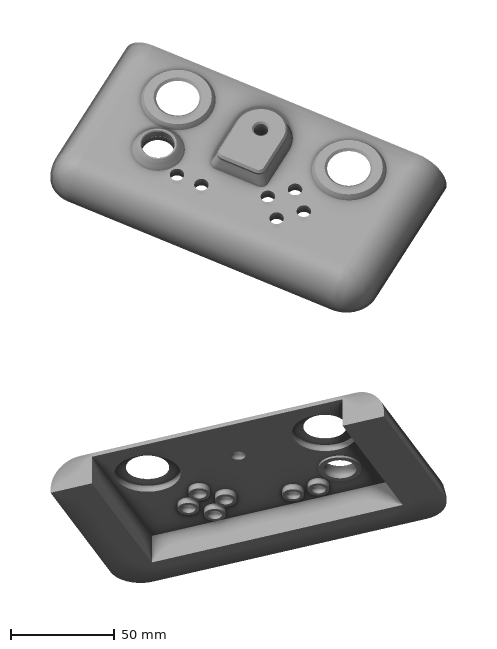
import cadquery as cq

LENGTH = 175.1
DEPTH = 91.2
BODY_TOP = 17.5
SKIRT_HEIGHT = 2.1
EDGE_ROUND = BODY_TOP - SKIRT_HEIGHT
CORNER_RADIUS = 15.8

PLATE_THICKNESS = 2.1
PLATE_UNDERSIDE = BODY_TOP - PLATE_THICKNESS
CAVITY_WIDTH = 131.7
FRONT_WALL = 15.8

LENS_SPACING = 93.2
LENS_Y = 21.7
LENS_TOP = 20.0
LENS_BASE_DIAMETER = 36.6
LENS_TOP_DIAMETER = 33.0
LENS_MOUTH_DIAMETER = 23.5
LENS_HOLE_DIAMETER = 21.0
LENS_LIP = 1.0
LENS_POCKET_DIAMETER = 32.2

EYE_X = -41.5
EYE_Y = -9.3
EYE_TOP = 21.9
EYE_SHOULDER = 20.7
EYE_BASE_DIAMETER = 26.1
EYE_SHOULDER_DIAMETER = 20.7
EYE_TOP_DIAMETER = 18.2
EYE_MOUTH_DIAMETER = 17.2
EYE_HOLE_DIAMETER = 16.1
EYE_SLEEVE_BORE = 16.0
EYE_CHAMFER = 0.5
EYE_SLEEVE_DIAMETER = 21.0
EYE_SLEEVE_BOTTOM = 14.4

PAD_TOP = 25.5
PAD_SHOULDER = 23.1
PAD_BAND_TOP = 24.3
PAD_Y = 19.3
PAD_BASE_RADIUS = 15.4
PAD_FRONT_Y = -7.2
PAD_SHOULDER_INSET = 2.5
PAD_TOP_INSET = 3.5
PAD_CORNER = 3.7
PAD_HOLE_DIAMETER = 7.0
PAD_MOUTH_DIAMETER = 8.8
PAD_COUNTERSINK = 0.9

BUTTON_DIAMETER = 7.0
SLEEVE_DIAMETER = 10.5
SLEEVE_BOTTOM = 12.3
CROSS_X = 28.7
CROSS_Y = -10.3
CROSS_REACH = 9.8
PAIR_X = (-26.3, -13.0)
PAIR_Y = -18.7

BUTTONS = [
    (CROSS_X - CROSS_REACH, CROSS_Y),
    (CROSS_X + CROSS_REACH, CROSS_Y),
    (CROSS_X, CROSS_Y - CROSS_REACH),
    (CROSS_X, CROSS_Y + CROSS_REACH),
    (PAIR_X[0], PAIR_Y),
    (PAIR_X[1], PAIR_Y),
]
LENSES = [(-LENS_SPACING / 2, LENS_Y), (LENS_SPACING / 2, LENS_Y)]


def turned(x, y, profile):
    """Solid of revolution about a vertical axis at (x, y); profile lists (diameter, z)."""
    points = [(diameter / 2, z) for diameter, z in profile]
    outline = [(0, points[0][1])] + points + [(0, points[-1][1])]
    solid = cq.Workplane("XZ").polyline(outline).close().revolve(360, (0, 0), (0, 1))
    return solid.translate((x, y, 0))


def housing():
    """Block with rounded front corners and a large round along its front and ends."""
    block = cq.Workplane("XY").box(LENGTH, DEPTH, BODY_TOP, centered=(True, True, False))
    block = block.edges("|Z and <Y").fillet(CORNER_RADIUS)
    block = block.faces(">Z").edges("not >Y").fillet(EDGE_ROUND)
    cavity_depth = DEPTH - FRONT_WALL
    cavity = cq.Workplane("XY").box(
        CAVITY_WIDTH, cavity_depth, PLATE_UNDERSIDE, centered=(True, True, False)
    )
    return block.cut(cavity.translate((0, FRONT_WALL / 2, 0)))


def pad_outline(inset, z, corner):
    """Pad outline at height z, moved inwards by inset, with front corners of the given radius."""
    radius = PAD_BASE_RADIUS - inset
    front = PAD_FRONT_Y + inset
    return (
        cq.Workplane("XY", origin=(0, 0, z))
        .moveTo(-radius + corner, front)
        .lineTo(radius - corner, front)
        .radiusArc((radius, front + corner), -corner)
        .lineTo(radius, PAD_Y)
        .threePointArc((0, PAD_Y + radius), (-radius, PAD_Y))
        .lineTo(-radius, front + corner)
        .radiusArc((-radius + corner, front), -corner)
        .close()
        .val()
    )


def pad():
    """Tapered foot, upright band and bevelled top, stacked from four outlines."""
    bevel = PAD_TOP_INSET - PAD_SHOULDER_INSET
    outlines = [
        pad_outline(0, BODY_TOP, PAD_CORNER),
        pad_outline(PAD_SHOULDER_INSET, PAD_SHOULDER, PAD_CORNER),
        pad_outline(PAD_SHOULDER_INSET, PAD_BAND_TOP, PAD_CORNER),
        pad_outline(PAD_TOP_INSET, PAD_TOP, PAD_CORNER - bevel),
    ]
    return cq.Workplane("XY").add(cq.Solid.makeLoft(outlines, True))


result = housing()

result = result.union(pad())
result = result.cut(turned(0, PAD_Y, [
    (PAD_HOLE_DIAMETER, 0),
    (PAD_HOLE_DIAMETER, PAD_TOP - PAD_COUNTERSINK),
    (PAD_MOUTH_DIAMETER, PAD_TOP),
]))

for x, y in LENSES:
    result = result.union(turned(x, y, [
        (LENS_BASE_DIAMETER, PLATE_UNDERSIDE),
        (LENS_BASE_DIAMETER, BODY_TOP),
        (LENS_TOP_DIAMETER, LENS_TOP),
    ]))
result = result.union(turned(EYE_X, EYE_Y, [
    (EYE_SLEEVE_DIAMETER, EYE_SLEEVE_BOTTOM),
    (EYE_SLEEVE_DIAMETER, PLATE_UNDERSIDE),
    (EYE_BASE_DIAMETER, BODY_TOP),
    (EYE_SHOULDER_DIAMETER, EYE_SHOULDER),
    (EYE_TOP_DIAMETER, EYE_TOP),
]))
for x, y in BUTTONS:
    result = result.union(turned(x, y, [(SLEEVE_DIAMETER, SLEEVE_BOTTOM), (SLEEVE_DIAMETER, BODY_TOP)]))

for x, y in LENSES:
    result = result.cut(turned(x, y, [
        (LENS_POCKET_DIAMETER, PLATE_UNDERSIDE),
        (LENS_POCKET_DIAMETER, LENS_TOP - LENS_LIP),
        (LENS_HOLE_DIAMETER, LENS_TOP - LENS_LIP),
        (LENS_MOUTH_DIAMETER, LENS_TOP),
    ]))
result = result.cut(turned(EYE_X, EYE_Y, [
    (EYE_SLEEVE_BORE, 0),
    (EYE_SLEEVE_BORE, BODY_TOP),
    (EYE_HOLE_DIAMETER, BODY_TOP),
    (EYE_HOLE_DIAMETER, EYE_TOP - EYE_CHAMFER),
    (EYE_MOUTH_DIAMETER, EYE_TOP),
]))
for x, y in BUTTONS:
    result = result.cut(turned(x, y, [(BUTTON_DIAMETER, 0), (BUTTON_DIAMETER, BODY_TOP)]))